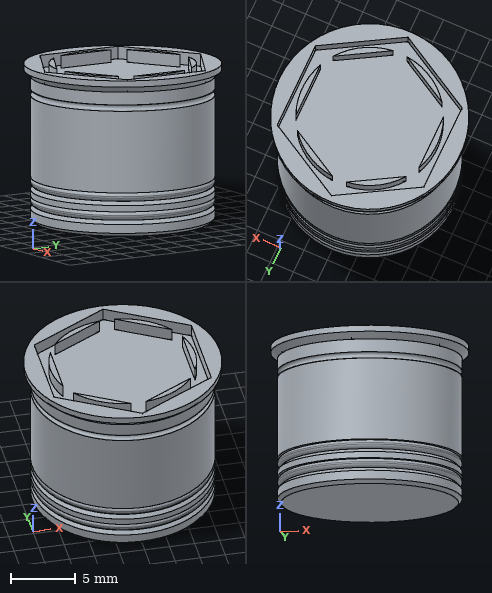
import cadquery as cq
import math

plug_height = 12.5
flange_radius = 7.75
body_radius = 7.22
flange_rim_height = 0.5
flange_taper_height = 0.5
bottom_chamfer = 0.3

round_groove_wall = 0.03
round_groove_radius = 0.25
round_groove_z = plug_height - 2.26

ring_section_radius = 0.35
ring_flat_height = 0.12
ring_top_levels = [plug_height - 8.99, plug_height - 10.5]
ring_center_radius = body_radius - math.sqrt(ring_section_radius**2 - (ring_flat_height / 2) ** 2)

groove_floor_radius = ring_center_radius - ring_section_radius
groove_lip_chamfer = 0.3

hexagon_side_count = 6
hexagon_across_flats = 12.55
recess_depth = 0.99
pad_circle_radius = 5.77
pad_flat_distance = 5.27


def make_plug_blank():
    """Turned flanged cylinder with a chamfered bottom edge."""
    rim_bottom = plug_height - flange_rim_height
    return (
        cq.Workplane("XZ")
        .moveTo(0, 0)
        .lineTo(body_radius - bottom_chamfer, 0)
        .lineTo(body_radius, bottom_chamfer)
        .lineTo(body_radius, rim_bottom - flange_taper_height)
        .lineTo(flange_radius, rim_bottom)
        .lineTo(flange_radius, plug_height)
        .lineTo(0, plug_height)
        .close()
        .revolve(360, (0, 0), (0, 1))
    )


def make_round_groove():
    """Cutter for the groove: short straight walls and a half-round floor."""
    wall_end_radius = body_radius - round_groove_wall
    floor_radius = wall_end_radius - round_groove_radius
    top_z = round_groove_z + round_groove_radius
    bottom_z = round_groove_z - round_groove_radius
    return (
        cq.Workplane("XZ")
        .moveTo(body_radius, top_z)
        .lineTo(wall_end_radius, top_z)
        .threePointArc((floor_radius, round_groove_z), (wall_end_radius, bottom_z))
        .lineTo(body_radius, bottom_z)
        .close()
        .revolve(360, (0, 0), (0, 1))
    )


def make_ring_groove(top_z):
    """Cutter for one ring groove, open at the body surface."""
    ledge_z = top_z - 2 * ring_section_radius
    lip_radius = body_radius - groove_lip_chamfer
    return (
        cq.Workplane("XZ")
        .moveTo(groove_floor_radius, top_z)
        .lineTo(body_radius, top_z)
        .lineTo(body_radius, ledge_z - groove_lip_chamfer)
        .lineTo(lip_radius, ledge_z)
        .lineTo(groove_floor_radius, ledge_z)
        .close()
        .revolve(360, (0, 0), (0, 1))
    )


def make_recess():
    """Hexagonal recess cutter with two corners in the YZ plane, leaving six pads."""
    across_corners = hexagon_across_flats / math.cos(math.pi / hexagon_side_count)
    floor = cq.Workplane("XY").workplane(offset=plug_height - recess_depth)
    corner_turn = (0, 0, 90)
    recess = (
        floor.transformed(rotate=corner_turn)
        .polygon(hexagon_side_count, across_corners)
        .extrude(recess_depth)
    )
    half_chord = math.sqrt(pad_circle_radius**2 - pad_flat_distance**2)
    pad = (
        floor.moveTo(pad_flat_distance, -half_chord)
        .threePointArc((pad_circle_radius, 0), (pad_flat_distance, half_chord))
        .close()
        .extrude(recess_depth)
    )
    for index in range(hexagon_side_count):
        angle = index * 360 / hexagon_side_count
        recess = recess.cut(pad.rotate((0, 0, 0), (0, 0, 1), angle))
    return recess


def make_plug():
    plug = make_plug_blank().cut(make_round_groove()).cut(make_recess())
    for top_z in ring_top_levels:
        plug = plug.cut(make_ring_groove(top_z))
    return plug


def make_sealing_ring(top_z):
    """Ring whose outer flat lies flush with the body surface."""
    center_z = top_z - ring_section_radius
    half_flat = ring_flat_height / 2
    return (
        cq.Workplane("XZ")
        .moveTo(body_radius, center_z - half_flat)
        .lineTo(body_radius, center_z + half_flat)
        .threePointArc((groove_floor_radius, center_z), (body_radius, center_z - half_flat))
        .close()
        .revolve(360, (0, 0), (0, 1))
    )


plug = make_plug()
sealing_rings = [make_sealing_ring(top_z).val() for top_z in ring_top_levels]

result = cq.Compound.makeCompound([plug.val(), *sealing_rings])